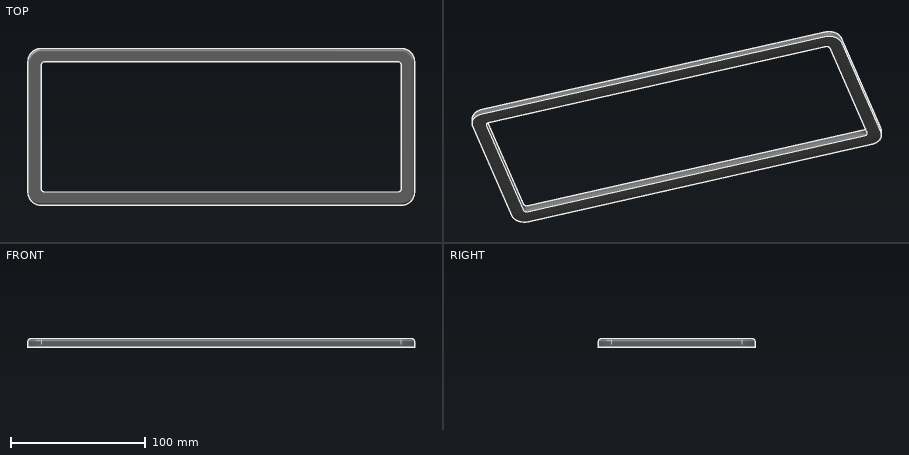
import cadquery as cq

length = 288.7
width = 117.2
height = 6.5

rail_width = 10.0
outer_radius = 10.0
opening_radius = 2.5
top_round = 2.5

plate = (
    cq.Workplane("XY")
    .box(length, width, height, centered=(True, True, False))
    .edges("|Z")
    .fillet(outer_radius)
    .faces(">Z")
    .edges()
    .fillet(top_round)
)

opening = (
    cq.Workplane("XY")
    .box(length - 2 * rail_width, width - 2 * rail_width, height, centered=(True, True, False))
    .edges("|Z")
    .fillet(opening_radius)
)

result = plate.cut(opening)